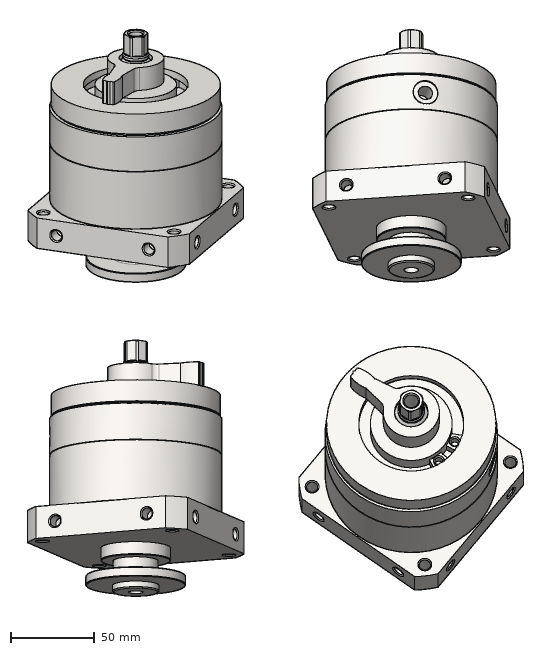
import cadquery as cq
import math

drive_disc_bottom = 4.1
drive_disc_top = 10.0
boss_bottom = 19.1
plate_bottom = 26.9
plate_top = 46.5
housing_seam = 83.6
neck_bottom = 105.7
neck_top = 106.8
cover_top = 120.1
lever_bottom = 122.4
lever_top = 137.0
retaining_ring_bottom = 137.8
retaining_ring_top = 139.4
hexagon_bottom = 140.5
shaft_top = 152.8

plate_side = 105.0
plate_corner_diameter = 135.0
plate_hole_spacing = 85.0
side_hole_spacing = 60.0
plate_hole_diameter = 6.7
plate_hole_rim_diameter = 8.3
side_hole_depth = 9.2
drill_tip_angle = 118.0
housing_diameter = 103.6
seam_groove_diameter = 103.3
seam_groove_height = 0.3
boss_diameter = 42.0
boss_chamfer = 0.5

neck_diameter = 99.0
cover_diameter = 101.8
cover_chamfer = 0.5
annulus_outer_diameter = 63.0
annulus_inner_diameter = 49.0
annulus_depth = 10.5
undercut_diameter = 68.8
undercut_height = 6.0
stop_block_centre = 90.0
stop_block_offset = 16.4
stop_block_sweep = 20.1
stop_hole_diameter = 4.9
stop_hole_rim_diameter = 6.5
port_angle = 20.0
port_face_radius = 50.6
port_face_diameter = 15.0
port_hole_diameter = 8.5
port_hole_depth = 15.3

shaft_bore_diameter = 8.5
shaft_bore_rim_diameter = 10.1
hub_diameter = 28.0
hub_chamfer = 0.8
drive_disc_diameter = 60.0
drive_disc_chamfer = 0.5
journal_diameter = 27.0
journal_root_fillet = 0.8
journal_top = 98.9
collar_diameter = 20.0
collar_cone_bottom = 134.2
stem_diameter = 14.5
retaining_ring_diameter = 16.0
hexagon_across_flats = 13.3
hexagon_corner_diameter = 14.5
hexagon_corner_chamfer = 0.5

lever_hub_diameter = 33.8
lever_root_fillet = 5.0
lever_root_half_width = 6.9
lever_root_y = -13.8
lever_waist_half_width = 4.1
lever_waist_y = -31.0
lever_pad_half_width = 4.7
lever_pad_y = -36.2
lever_tip_half_width = 3.8
lever_tip_y = -42.6
lever_end_half_width = 3.2
lever_end_y = -43.2
lever_nose_half_width = 1.0
lever_nose_y = -44.0


def cylinder(diameter, bottom, top):
    """Upright cylinder on the Z axis."""
    return cq.Workplane("XY").workplane(offset=bottom).circle(diameter / 2).extrude(top - bottom)


def revolve_profile(points):
    """Solid of revolution about Z from (radius, height) points."""
    return cq.Workplane("XZ").polyline(points).close().revolve(360, (0, 0), (0, 1))


def drill_cutter(diameter, rim_diameter, depth, tip_angle):
    """Drill shape along Z: entry chamfer at z = 0, then a bore going down to a conical tip."""
    radius = diameter / 2
    rim_radius = rim_diameter / 2
    chamfer = rim_radius - radius
    tip = radius / math.tan(math.radians(tip_angle / 2))
    return revolve_profile(
        [(0, 0), (rim_radius, 0), (radius, -chamfer), (radius, -depth), (0, -depth - tip)]
    )


def rim_cone(diameter, rim_diameter, face_z, inward):
    """45 degree entry chamfer for an upright hole; inward is +1 or -1, pointing into the material."""
    chamfer = (rim_diameter - diameter) / 2
    return revolve_profile(
        [(0, face_z), (rim_diameter / 2, face_z), (diameter / 2, face_z + inward * chamfer),
         (0, face_z + inward * chamfer)]
    )


def make_seam_groove(bottom):
    """Ring that cuts a shallow groove around the housing."""
    top = bottom + seam_groove_height
    return cylinder(housing_diameter, bottom, top).cut(cylinder(seam_groove_diameter, bottom, top))


def make_lower_housing():
    """Mounting plate with the lower housing above it and the boss below it."""
    plate = (
        cq.Workplane("XY").workplane(offset=plate_bottom)
        .rect(plate_side, plate_side).extrude(plate_top - plate_bottom)
    )
    plate = plate.intersect(cylinder(plate_corner_diameter, plate_bottom, plate_top))

    corner = plate_hole_spacing / 2
    hole = cylinder(plate_hole_diameter, plate_bottom, plate_top)
    hole = hole.union(rim_cone(plate_hole_diameter, plate_hole_rim_diameter, plate_top, -1))
    hole = hole.union(rim_cone(plate_hole_diameter, plate_hole_rim_diameter, plate_bottom, 1))
    for x in (-corner, corner):
        for y in (-corner, corner):
            plate = plate.cut(hole.translate((x, y, 0)))

    side_hole = drill_cutter(plate_hole_diameter, plate_hole_rim_diameter, side_hole_depth, drill_tip_angle)
    side_hole = side_hole.rotate((0, 0, 0), (1, 0, 0), 90)
    plate_middle = (plate_bottom + plate_top) / 2
    for side in range(4):
        for x in (-side_hole_spacing / 2, side_hole_spacing / 2):
            placed = side_hole.translate((x, -plate_side / 2, plate_middle))
            plate = plate.cut(placed.rotate((0, 0, 0), (0, 0, 1), 90 * side))

    body = plate.union(cylinder(housing_diameter, plate_top, housing_seam))
    boss = cylinder(boss_diameter, boss_bottom, plate_bottom).faces("<Z").chamfer(boss_chamfer)
    body = body.cut(make_seam_groove(plate_top)).cut(make_seam_groove(housing_seam - seam_groove_height))
    return body.union(boss).cut(cylinder(journal_diameter, boss_bottom, housing_seam))


def make_stop_block(middle):
    """Annular sector filling the undercut, with a blind chamfered hole at its middle."""
    floor = cover_top - annulus_depth
    top = floor + undercut_height
    inner = annulus_inner_diameter / 2
    outer = undercut_diameter / 2
    hole_radius = (annulus_inner_diameter + annulus_outer_diameter) / 4
    start_angle = middle - stop_block_sweep / 2
    end_angle = middle + stop_block_sweep / 2

    def polar(radius, angle):
        return radius * math.cos(math.radians(angle)), radius * math.sin(math.radians(angle))

    block = (
        cq.Workplane("XY").workplane(offset=floor)
        .moveTo(*polar(inner, start_angle))
        .lineTo(*polar(outer, start_angle))
        .threePointArc(polar(outer, middle), polar(outer, end_angle))
        .lineTo(*polar(inner, end_angle))
        .threePointArc(polar(inner, middle), polar(inner, start_angle))
        .close().extrude(undercut_height)
    )
    hole = cylinder(stop_hole_diameter, floor, top)
    hole = hole.union(rim_cone(stop_hole_diameter, stop_hole_rim_diameter, top, -1))
    return block.cut(hole.translate((*polar(hole_radius, middle), 0)))


def make_upper_housing():
    """Housing with neck, cover, ring-shaped recess, two stop blocks and a side port."""
    cover_radius = cover_diameter / 2
    neck_radius = neck_diameter / 2
    housing_radius = housing_diameter / 2
    body = revolve_profile([
        (journal_diameter / 2, housing_seam),
        (housing_radius, housing_seam),
        (housing_radius, neck_bottom),
        (neck_radius, neck_bottom),
        (neck_radius, neck_top),
        (cover_radius - cover_chamfer, neck_top),
        (cover_radius, neck_top + cover_chamfer),
        (cover_radius, cover_top),
        (collar_diameter / 2, cover_top),
        (collar_diameter / 2, journal_top),
        (journal_diameter / 2, journal_top),
    ])

    floor = cover_top - annulus_depth
    annulus = cylinder(annulus_outer_diameter, floor, cover_top)
    annulus = annulus.union(cylinder(undercut_diameter, floor, floor + undercut_height))
    annulus = annulus.cut(cylinder(annulus_inner_diameter, floor, cover_top))
    body = body.cut(annulus)
    for middle_angle in (stop_block_centre - stop_block_offset, stop_block_centre + stop_block_offset):
        body = body.union(make_stop_block(middle_angle))

    spot_face = cq.Workplane("XZ").circle(port_face_diameter / 2).extrude(-housing_diameter)
    spot_face = spot_face.translate((0, port_face_radius, 0))
    hole = cq.Workplane("XZ").circle(port_hole_diameter / 2).extrude(-port_hole_depth)
    hole = hole.translate((0, port_face_radius - port_hole_depth, 0))
    port = spot_face.union(hole).translate((0, 0, (housing_seam + neck_bottom) / 2))
    return body.cut(port.rotate((0, 0, 0), (0, 0, 1), port_angle))


def make_shaft():
    """Hollow shaft: hub, drive disc and journal below, collar and hexagon above."""
    hub = cylinder(hub_diameter, 0, drive_disc_bottom).faces("<Z").chamfer(hub_chamfer)
    disc = cylinder(drive_disc_diameter, drive_disc_bottom, drive_disc_top)
    disc = disc.edges().chamfer(drive_disc_chamfer)
    journal = cylinder(journal_diameter, drive_disc_top, journal_top)

    root_radius = journal_diameter / 2
    root_top = drive_disc_top + journal_root_fillet
    root = (
        cq.Workplane("XZ").moveTo(0, drive_disc_top)
        .lineTo(root_radius + journal_root_fillet, drive_disc_top)
        .radiusArc((root_radius, root_top), journal_root_fillet)
        .lineTo(0, root_top)
        .close().revolve(360, (0, 0), (0, 1))
    )

    cone_height = (collar_diameter - stem_diameter) / 2
    ring_step = (retaining_ring_diameter - stem_diameter) / 2
    collar = revolve_profile([
        (0, journal_top),
        (collar_diameter / 2, journal_top),
        (collar_diameter / 2, collar_cone_bottom),
        (stem_diameter / 2, collar_cone_bottom + cone_height),
        (stem_diameter / 2, retaining_ring_bottom - ring_step),
        (retaining_ring_diameter / 2, retaining_ring_bottom),
        (retaining_ring_diameter / 2, retaining_ring_top),
        (stem_diameter / 2, retaining_ring_top + ring_step),
        (stem_diameter / 2, hexagon_bottom),
        (0, hexagon_bottom),
    ])

    hexagon = (
        cq.Workplane("XY").workplane(offset=hexagon_bottom)
        .polygon(6, hexagon_across_flats, circumscribed=True).extrude(shaft_top - hexagon_bottom)
    )
    turned_blank = cylinder(hexagon_corner_diameter, hexagon_bottom, shaft_top)
    hexagon = hexagon.intersect(turned_blank.faces(">Z").chamfer(hexagon_corner_chamfer))

    shaft = hub.union(disc).union(journal).union(root).union(collar).union(hexagon)
    shaft = shaft.cut(cylinder(shaft_bore_diameter, 0, shaft_top))
    return shaft.cut(rim_cone(shaft_bore_diameter, shaft_bore_rim_diameter, shaft_top, -1))


def make_lever():
    """Round hub with a symmetric tapered arm toward -Y, ending in a finger pad with a small nose."""
    hub = cylinder(lever_hub_diameter, lever_bottom, lever_top)
    arm = (
        cq.Workplane("XY").workplane(offset=lever_bottom)
        .moveTo(0, 0)
        .lineTo(lever_root_half_width, 0)
        .lineTo(lever_root_half_width, lever_root_y)
        .lineTo(lever_waist_half_width, lever_waist_y)
        .threePointArc((lever_pad_half_width, lever_pad_y), (lever_tip_half_width, lever_tip_y))
        .lineTo(lever_end_half_width, lever_end_y)
        .lineTo(lever_nose_half_width, lever_end_y)
        .lineTo(0, lever_nose_y)
        .close().extrude(lever_top - lever_bottom)
    )
    lever = hub.union(arm).union(arm.mirror("YZ")).clean()

    hub_radius = lever_hub_diameter / 2
    lever_middle = (lever_bottom + lever_top) / 2
    for x in (-lever_root_half_width, lever_root_half_width):
        corner = (x, -math.sqrt(hub_radius**2 - x**2), lever_middle)
        lever = lever.edges(cq.NearestToPointSelector(corner)).fillet(lever_root_fillet)
    return lever.cut(cylinder(collar_diameter, lever_bottom, lever_top))


lower_housing = make_lower_housing()
upper_housing = make_upper_housing()
shaft = make_shaft()
lever = make_lever()

result = cq.Compound.makeCompound(
    [lower_housing.val(), upper_housing.val(), shaft.val(), lever.val()]
)